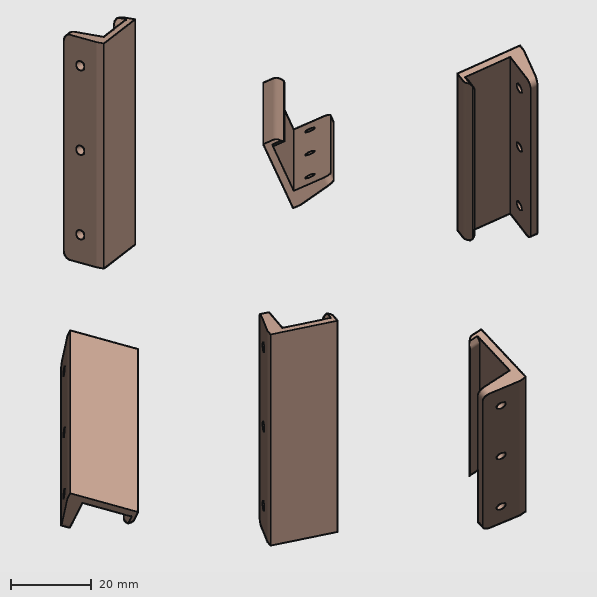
import cadquery as cq
import math

width = 12.0
depth = 18.0
height = 60.0

web_thickness = 2.0
flange_root = 4.0
flange_tip = 2.0
flange_corner_radius = 2.0

lip_length = 5.0
lip_thickness = 2.0
lip_bevel = 1.5
lip_bevel_blend = 2.0
lip_lead_in_depth = 1.0
lip_lead_in_angle = 30.0
lip_lead_in_blend = 2.0

hole_diameter = 2.5
hole_end_distance = 7.5
hole_count = 3

web_inner_x = width - web_thickness
lip_tip_x = width - lip_length
lip_inner_y = depth - lip_thickness
lip_lead_in_length = lip_lead_in_depth / math.tan(math.radians(lip_lead_in_angle))


def make_web():
    """Flat back plate joining the flange to the lip."""
    web = cq.Workplane("XY").box(web_thickness, depth, height, centered=False)
    return web.translate((web_inner_x, 0, 0))


def make_flange():
    """Tapered flange whose outer face slopes from the web to a thin, round-cornered tip."""
    outline = [
        (0, flange_root),
        (0, flange_root - flange_tip),
        (web_inner_x, 0),
        (width, 0),
        (width, flange_root),
    ]
    flange = cq.Workplane("XY").polyline(outline).close().extrude(height)
    return flange.edges("|Y and <X").fillet(flange_corner_radius)


def make_lip():
    """Lip with a bevelled, blended outer edge and a lead-in on its inner face at both ends."""
    outline = [
        (lip_tip_x, lip_inner_y),
        (width, lip_inner_y),
        (width, depth),
        (lip_tip_x + lip_bevel, depth),
        (lip_tip_x, depth - lip_bevel),
    ]
    lip = cq.Workplane("XY").polyline(outline).close().extrude(height)
    bevel_edge = cq.selectors.NearestToPointSelector((lip_tip_x + lip_bevel, depth, height / 2))
    lip = lip.edges(bevel_edge).fillet(lip_bevel_blend)

    kept_outline = [
        (lip_inner_y, lip_lead_in_length),
        (lip_inner_y + lip_lead_in_depth, 0),
        (depth, 0),
        (depth, height),
        (lip_inner_y + lip_lead_in_depth, height),
        (lip_inner_y, height - lip_lead_in_length),
    ]
    kept = cq.Workplane("YZ").polyline(kept_outline).close().extrude(width)
    kept = kept.edges("|X and <Y").fillet(lip_lead_in_blend)
    return lip.intersect(kept)


def make_holes():
    """Cylinders through the flange, centred on its sloped face."""
    slope = (flange_root - flange_tip) / web_inner_x
    normal_length = math.hypot(1, slope)
    face_normal = cq.Vector(slope / normal_length, 1 / normal_length, 0)
    face_x = web_inner_x / 2
    face_y = (flange_root - flange_tip) / 2
    pitch = (height - 2 * hole_end_distance) / (hole_count - 1)
    holes = cq.Workplane("XY")
    for index in range(hole_count):
        centre = cq.Vector(face_x, face_y, hole_end_distance + index * pitch)
        start = centre - face_normal * flange_root
        cylinder = cq.Solid.makeCylinder(hole_diameter / 2, 2 * flange_root, start, face_normal)
        holes = holes.add(cylinder)
    return holes.combine()


result = make_web().union(make_flange()).union(make_lip()).cut(make_holes()).clean()